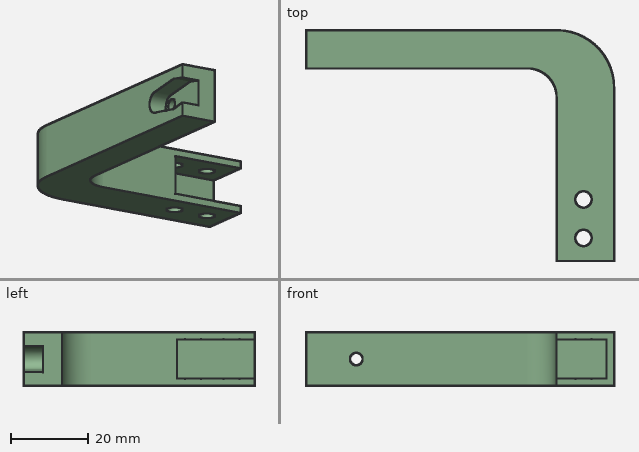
import cadquery as cq
import math

length_x = 80.0
length_y = 60.0
thickness = 14.0

arm_width = 10.0
leg_width = 15.0
outer_radius = 15.0
inner_radius = 7.5

pocket_depth = 20.2
pocket_height = 10.2
pocket_side_wall = 2.0

leg_hole_diameter = 4.2
leg_hole_from_side = 8.0
leg_hole_from_end = 6.0
leg_hole_spacing = 10.0
leg_hole_count = 2

arm_hole_diameter = 3.2
arm_hole_from_end = 13.0
head_slot_mouth_width = 6.75
head_slot_widest_width = 8.2
head_slot_widest_from_end = 4.25
head_slot_end_diameter = 5.6
head_slot_depth = 5.0

left = -length_x / 2
right = length_x / 2
front = -length_y / 2
back = length_y / 2

arm_front = back - arm_width
leg_left = right - leg_width


def make_body():
    """Flat L-shaped bar with a rounded outer and inner corner."""
    outline = [
        (left, back),
        (right, back),
        (right, front),
        (leg_left, front),
        (leg_left, arm_front),
        (left, arm_front),
    ]
    body = cq.Workplane("XY").polyline(outline).close().extrude(thickness / 2, both=True)
    body = body.edges(cq.selectors.NearestToPointSelector((right, back, 0))).fillet(outer_radius)
    inner_corner = cq.selectors.NearestToPointSelector((leg_left, arm_front, 0))
    return body.edges(inner_corner).fillet(inner_radius)


def make_leg_pocket():
    """Rectangular pocket that leaves a top, a bottom and one side wall."""
    return (
        cq.Workplane("XY")
        .box(leg_width - pocket_side_wall, pocket_depth, pocket_height, centered=(False, False, True))
        .translate((leg_left, front, 0))
    )


def make_leg_holes():
    """Row of holes along the leg, through its top and bottom walls."""
    hole_x = right - leg_hole_from_side
    first_y = front + leg_hole_from_end
    centres = [(hole_x, first_y + i * leg_hole_spacing) for i in range(leg_hole_count)]
    return (
        cq.Workplane("XY")
        .pushPoints(centres)
        .circle(leg_hole_diameter / 2)
        .extrude(thickness / 2, both=True)
    )


def make_arm_hole():
    """Screw hole through the arm, with its axis along Y."""
    return (
        cq.Workplane("XZ", origin=(left + arm_hole_from_end, back, 0))
        .circle(arm_hole_diameter / 2)
        .extrude(arm_width)
    )


def make_head_slot():
    """Slot that widens from the arm end, then narrows to a round end around the screw hole.

    The narrowing walls run tangent into the round end.
    """
    half_mouth = head_slot_mouth_width / 2
    half_widest = head_slot_widest_width / 2
    end_radius = head_slot_end_diameter / 2
    narrowing_length = arm_hole_from_end - head_slot_widest_from_end
    widest_to_centre = math.hypot(narrowing_length, half_widest)
    wall_angle = math.atan2(half_widest, narrowing_length) - math.asin(end_radius / widest_to_centre)
    tangent_x = arm_hole_from_end + end_radius * math.sin(wall_angle)
    tangent_z = end_radius * math.cos(wall_angle)
    return (
        cq.Workplane("XZ", origin=(left, back, 0))
        .moveTo(0, -half_mouth)
        .lineTo(head_slot_widest_from_end, -half_widest)
        .lineTo(tangent_x, -tangent_z)
        .threePointArc((arm_hole_from_end + end_radius, 0), (tangent_x, tangent_z))
        .lineTo(head_slot_widest_from_end, half_widest)
        .lineTo(0, half_mouth)
        .close()
        .extrude(head_slot_depth)
    )


result = (
    make_body()
    .cut(make_leg_pocket())
    .cut(make_leg_holes())
    .cut(make_arm_hole())
    .cut(make_head_slot())
)